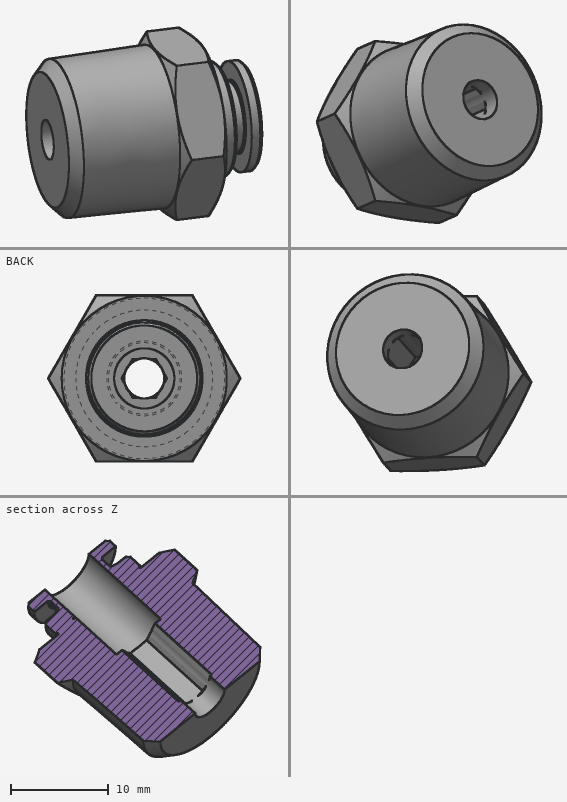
import cadquery as cq
import math

total_length = 21.3
hex_across_flats = 17.0
hex_start = 11.48
hex_end = 16.49
hex_chamfer_angle = 30.0
hex_face_diameter = 16.87

thread_root_diameter = 16.87
thread_tip_diameter = 16.4
thread_chamfer_length = 1.21
thread_face_diameter = 13.97

collar_diameter = 11.9
collar_end = 18.49
collar_chamfer = 0.32
collar_groove_diameter = 11.5
collar_groove_width = 0.17

neck_diameter = 7.3
flange_diameter = 11.45
flange_thickness = 1.24
flange_chamfer = 0.32
flange_root_chamfer = 0.17
collar_boss_diameter = 8.9
collar_boss_height = 0.21

through_diameter = 4.1
tube_diameter = 6.15
tube_depth = 10.65
socket_across_flats = 4.0
socket_start = 2.22


def revolve_about_y(points):
    """Solid of revolution about Y from (radius, y) points."""
    profile = cq.Workplane("XY").polyline(points).close()
    return profile.revolve(360, (0, 0, 0), (0, 1, 0))


def cylinder(diameter, start, end):
    """Cylinder along Y between two stations."""
    return revolve_about_y([(0, start), (diameter / 2, start), (diameter / 2, end), (0, end)])


def threaded_end():
    return revolve_about_y([
        (0, 0),
        (thread_face_diameter / 2, 0),
        (thread_tip_diameter / 2, thread_chamfer_length),
        (thread_root_diameter / 2, hex_start),
        (0, hex_start),
    ])


def hex_prism(across_flats, start, end):
    """Hexagonal prism along Y with corners on +X and -X."""
    corner_diameter = across_flats / math.cos(math.radians(30))
    return cq.Workplane("XZ", origin=(0, end, 0)).polygon(6, corner_diameter).extrude(end - start)


def wrench_hexagon():
    """Outer hexagon, its corners cut by a cone at both ends."""
    face_radius = hex_face_diameter / 2
    corner_radius = hex_across_flats / 2 / math.cos(math.radians(30))
    drop = (corner_radius - face_radius) * math.tan(math.radians(hex_chamfer_angle))
    envelope = revolve_about_y([
        (0, hex_start),
        (face_radius, hex_start),
        (corner_radius, hex_start + drop),
        (corner_radius, hex_end - drop),
        (face_radius, hex_end),
        (0, hex_end),
    ])
    return hex_prism(hex_across_flats, hex_start, hex_end).intersect(envelope)


def collar():
    body = cylinder(collar_diameter, hex_end + collar_groove_width, collar_end)
    body = body.faces(">Y").chamfer(collar_chamfer)
    return body.union(cylinder(collar_groove_diameter, hex_end, hex_end + collar_groove_width))


def release_sleeve():
    """Neck and flange of the push-in release sleeve, with a cone at each end of the neck."""
    neck_radius = neck_diameter / 2
    flange_radius = flange_diameter / 2
    flange_start = total_length - flange_thickness
    return revolve_about_y([
        (0, collar_end),
        (collar_boss_diameter / 2, collar_end),
        (neck_radius, collar_end + collar_boss_height),
        (neck_radius, flange_start - flange_root_chamfer),
        (neck_radius + flange_root_chamfer, flange_start),
        (flange_radius, flange_start),
        (flange_radius, total_length - flange_chamfer),
        (flange_radius - flange_chamfer, total_length),
        (0, total_length),
    ])


def bore():
    """Through hole, hexagon key socket and wider tube seat."""
    tube_start = total_length - tube_depth
    hole = cylinder(through_diameter, 0, total_length)
    socket = hex_prism(socket_across_flats, socket_start, tube_start)
    tube_seat = cylinder(tube_diameter, tube_start, total_length)
    return hole.union(socket).union(tube_seat)


body = threaded_end().union(wrench_hexagon()).union(collar()).union(release_sleeve())
result = body.cut(bore())